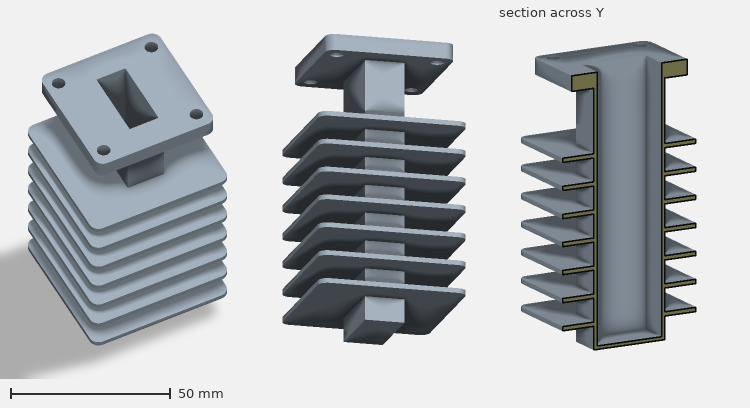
import cadquery as cq

total_height = 90.0
tube_length_x = 25.4
tube_length_y = 12.7
tube_wall = 1.3

flange_side = 41.4
flange_thickness = 5.2
flange_corner_radius = 3.1
bolt_hole_diameter = 4.2
bolt_spacing_x = 31.0
bolt_spacing_y = 32.6

fin_side = 47.8
fin_thickness = 1.5
fin_corner_radius = 3.1
fin_count = 7
fin_pitch = 9.1
lowest_fin_bottom = 7.65


def rounded_plate(side, thickness, corner_radius, bottom):
    """Square plate with rounded corners, centred on the tube axis."""
    plate = cq.Workplane("XY").workplane(offset=bottom).rect(side, side).extrude(thickness)
    return plate.edges("|Z").fillet(corner_radius)


def tube_body():
    return cq.Workplane("XY").rect(tube_length_x, tube_length_y).extrude(total_height)


def tube_bore():
    """Channel open at the flange, with an end wall as thick as the side walls."""
    bore_x = tube_length_x - 2 * tube_wall
    bore_y = tube_length_y - 2 * tube_wall
    bore_depth = total_height - tube_wall
    return cq.Workplane("XY").workplane(offset=tube_wall).rect(bore_x, bore_y).extrude(bore_depth)


def flange():
    flange_bottom = total_height - flange_thickness
    plate = rounded_plate(flange_side, flange_thickness, flange_corner_radius, flange_bottom)
    return (
        plate.faces(">Z")
        .workplane(origin=(0, 0, total_height))
        .rect(bolt_spacing_x, bolt_spacing_y, forConstruction=True)
        .vertices()
        .hole(bolt_hole_diameter)
    )


result = tube_body().union(flange())
for fin_index in range(fin_count):
    fin_bottom = lowest_fin_bottom + fin_index * fin_pitch
    result = result.union(rounded_plate(fin_side, fin_thickness, fin_corner_radius, fin_bottom))
result = result.cut(tube_bore())